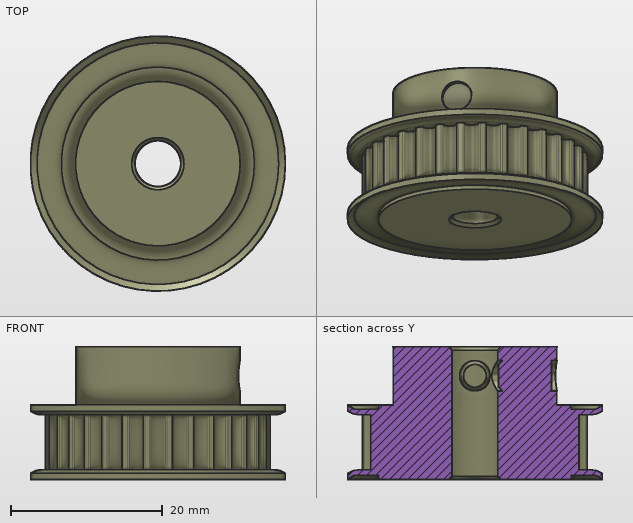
import cadquery as cq
import math

tooth_count = 32
tip_radius = 14.85
groove_radius = 0.94
groove_depth = 1.13
tooth_lip_radius = 0.2

flange_radius = 16.8
flange_height = 1.3
rim_height = 0.81
bend_radius = 2.0
bend_angle = math.radians(30)
dish_radius = 15.9
dish_depth = 0.55
collar_radius = 12.7

total_height = 17.5
wheel_height = 9.83

hub_radius = 10.82
bore_radius = 3.0
bore_chamfer = 0.44

screw_radius = 2.0
screw_chamfer = 0.5
screw_setback = 0.1
screw_length = 7.0
screw_directions = (cq.Vector(1, 0, 0), cq.Vector(0, 1, 0))
screw_height = (wheel_height + total_height) / 2


def make_toothed_wheel():
    """Cylinder between the flanges with round-bottomed belt grooves and rounded tooth corners."""
    groove_center = tip_radius - groove_depth + groove_radius
    belt_width = wheel_height - 2 * flange_height
    base = cq.Workplane("XY").workplane(offset=flange_height)
    grooves = (
        base.polarArray(groove_center, -90, 360, tooth_count)
        .circle(groove_radius)
        .extrude(belt_width)
    )
    wheel = base.circle(tip_radius).extrude(belt_width).cut(grooves)
    tooth_corners = wheel.edges("|Z")
    return tooth_corners.fillet(tooth_lip_radius)


def bend_radii():
    """Radii where the flange bend starts and where it meets the conical lip."""
    bend_drop = bend_radius * (1 - math.cos(bend_angle))
    cone_drop = flange_height - rim_height - bend_drop
    bend_end = flange_radius - cone_drop / math.tan(bend_angle)
    return bend_end - bend_radius * math.sin(bend_angle), bend_end


def make_lower_flange():
    """Bottom flange, dished underneath around a flush central collar."""
    bend_start_radius, bend_end_radius = bend_radii()
    bend_end_height = flange_height - bend_radius * (1 - math.cos(bend_angle))
    bend_mid_radius = bend_start_radius + bend_radius * math.sin(bend_angle / 2)
    bend_mid_height = flange_height - bend_radius * (1 - math.cos(bend_angle / 2))
    return (
        cq.Workplane("XZ")
        .moveTo(0, 0)
        .lineTo(collar_radius, 0)
        .lineTo(collar_radius, dish_depth)
        .lineTo(dish_radius, dish_depth)
        .lineTo(flange_radius, 0)
        .lineTo(flange_radius, rim_height)
        .lineTo(bend_end_radius, bend_end_height)
        .threePointArc((bend_mid_radius, bend_mid_height), (bend_start_radius, flange_height))
        .lineTo(0, flange_height)
        .close()
        .revolve(360, (0, 0, 0), (0, 1, 0))
    )


def make_hub():
    """Plain cylinder above the upper flange."""
    return (
        cq.Workplane("XY")
        .workplane(offset=wheel_height)
        .circle(hub_radius)
        .extrude(total_height - wheel_height)
    )


def make_bore():
    """Through bore with a conical chamfer at both ends."""
    mouth_radius = bore_radius + bore_chamfer
    return (
        cq.Workplane("XZ")
        .polyline([
            (0, 0),
            (mouth_radius, 0),
            (bore_radius, bore_chamfer),
            (bore_radius, total_height - bore_chamfer),
            (mouth_radius, total_height),
            (0, total_height),
        ])
        .close()
        .revolve(360, (0, 0, 0), (0, 1, 0))
    )


def make_set_screw_gaps(direction):
    """Open ends of a radial screw hole, left around a set screw with a chamfered tip."""
    hole_axis = cq.Vector(0, 0, screw_height)
    tip_distance = bore_radius + screw_setback
    hole = cq.Solid.makeCylinder(screw_radius, hub_radius, hole_axis, direction)
    tip = cq.Solid.makeCone(
        screw_radius - screw_chamfer,
        screw_radius,
        screw_chamfer,
        hole_axis + direction * tip_distance,
        direction,
    )
    shank = cq.Solid.makeCylinder(
        screw_radius,
        screw_length - screw_chamfer,
        hole_axis + direction * (tip_distance + screw_chamfer),
        direction,
    )
    return cq.Workplane(hole).cut(cq.Workplane(tip)).cut(cq.Workplane(shank))


lower_flange = make_lower_flange()
upper_flange = lower_flange.mirror("XY").translate((0, 0, wheel_height))

result = make_toothed_wheel().union(lower_flange).union(upper_flange).union(make_hub())
result = result.cut(make_bore())
for screw_direction in screw_directions:
    result = result.cut(make_set_screw_gaps(screw_direction))